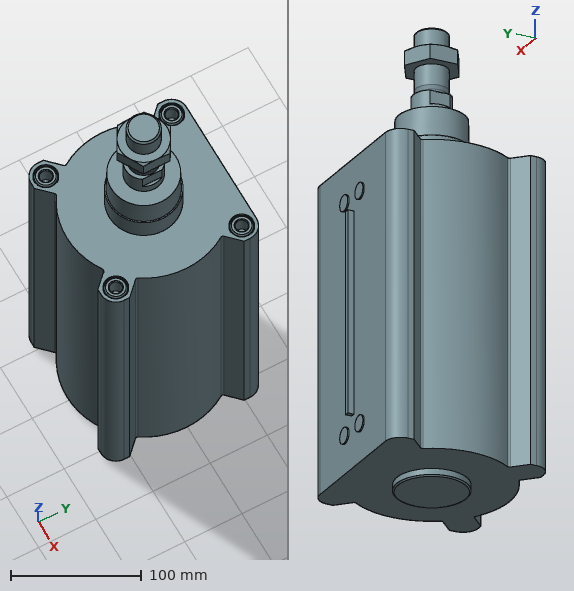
import cadquery as cq
import math

total_height = 385.0
total_depth = 141.0
housing_bottom = 6.0
housing_top = 266.0
housing_middle = (housing_bottom + housing_top) / 2

half_width = 67.95
barrel_radius = 67.0
screw_offset = 55.0
lug_radius = half_width - screw_offset
lug_flat_start = 50.0
neck_fillet = 2.0

collar_diameter = 60.0
collar_chamfer = 1.0
boss_shoulder = 287.0
boss_top = 311.5
boss_cone_base_diameter = 57.8
boss_top_diameter = 56.5

recess_diameter = 19.5
recess_depth = 2.0
head_diameter = 18.0
head_chamfer = 1.0
screw_hole_diameter = 10.0
screw_hole_depth = 15.5
screw_hole_chamfer = 0.8

rail_width = 4.0
rail_length = 171.0
rail_outer_face = total_depth - half_width
pad_diameter = 13.5
pad_height = 1.0
pad_offset_x = 12.7
pad_offset_z = 97.8

rod_diameter = 32.0
rod_bottom = housing_top
rod_shoulder = 331.0
wrench_flat_width = 27.0
wrench_flat_bottom = 319.5
thread_diameter = 27.0
thread_bottom = 337.0
undercut_diameter = 25.0
undercut_top = 333.5
rod_tip_chamfer = 1.5

nut_width = 41.0
nut_bottom = 354.2
nut_height = 13.0
nut_chamfer_angle = 20.0


def cylinder(diameter, bottom, top):
    return cq.Workplane("XY").workplane(offset=bottom).circle(diameter / 2).extrude(top - bottom)


def turned(profile):
    """Solid of revolution about Z from (radius, height) points."""
    return cq.Workplane("XZ").polyline(profile).close().revolve(360, (0, 0, 0), (0, 1, 0))


def at_corners(shape):
    """The shape, placed with its axis on each of the four screw axes."""
    copies = cq.Workplane("XY")
    for side_x in (-1, 1):
        for side_y in (-1, 1):
            copies = copies.add(shape.translate((side_x * screw_offset, side_y * screw_offset, 0)))
    return copies.combine()


def make_lug():
    """One corner lug: rounded outer corner, flanks running inwards at 45 degrees."""
    flank_offset = half_width - lug_flat_start
    outline = [
        (flank_offset, 0),
        (half_width, lug_flat_start),
        (half_width, half_width),
        (lug_flat_start, half_width),
        (0, flank_offset),
    ]
    lug = cq.Workplane("XY").workplane(offset=housing_bottom)
    lug = lug.polyline(outline).close().extrude(housing_top - housing_bottom)
    outer_corner = cq.selectors.NearestToPointSelector((half_width, half_width, housing_middle))
    return lug.edges(outer_corner).fillet(lug_radius)


def is_neck(edge):
    """True for the upright inner corners where lug flanks meet the barrel."""
    place = edge.Center()
    on_barrel = abs(math.hypot(place.x, place.y) - barrel_radius) < 0.05
    return on_barrel and min(abs(place.x), abs(place.y)) > lug_radius


def make_barrel():
    """Round barrel with four corner lugs and a flat +Y side."""
    barrel = cylinder(2 * barrel_radius, housing_bottom, housing_top)
    lug = make_lug()
    for corner in range(4):
        barrel = barrel.union(lug.rotate((0, 0, 0), (0, 0, 1), 90 * corner))
    flat_side = cq.Workplane("XY").box(
        2 * screw_offset, half_width, housing_top - housing_bottom, centered=(True, False, False)
    )
    barrel = barrel.union(flat_side.translate((0, 0, housing_bottom)))
    return barrel.edges("|Z").filter(is_neck).fillet(neck_fillet)


def make_boss():
    """Front boss: a cylinder, a small step, then a slightly tapered upper part."""
    profile = [
        (0, housing_top),
        (collar_diameter / 2, housing_top),
        (collar_diameter / 2, boss_shoulder),
        (boss_cone_base_diameter / 2, boss_shoulder),
        (boss_top_diameter / 2, boss_top),
        (0, boss_top),
    ]
    return turned(profile)


def make_screw_recess():
    """Space to cut for one screw: the ring around its bevelled head, and the hole in the head."""
    groove_bottom = housing_top - recess_depth
    head = cylinder(head_diameter, groove_bottom, housing_top).faces(">Z").chamfer(head_chamfer)
    groove = cylinder(recess_diameter, groove_bottom, housing_top).cut(head)
    hole_radius = screw_hole_diameter / 2
    hole_profile = [
        (0, housing_top - screw_hole_depth),
        (hole_radius, housing_top - screw_hole_depth),
        (hole_radius, housing_top - screw_hole_chamfer),
        (hole_radius + screw_hole_chamfer, housing_top),
        (0, housing_top),
    ]
    return groove.add(turned(hole_profile)).combine()


def make_side_features():
    """Long rail and four round pads on the flat +Y side, rooted inside the housing."""
    rail = cq.Workplane("XY").box(
        rail_width, rail_outer_face - screw_offset, rail_length, centered=(True, False, True)
    )
    features = rail.translate((0, screw_offset, housing_middle))
    pad_length = half_width + pad_height - screw_offset
    pad = cq.Workplane("XZ").circle(pad_diameter / 2).extrude(-pad_length)
    for side_x in (-1, 1):
        for side_z in (-1, 1):
            place = (side_x * pad_offset_x, screw_offset, housing_middle + side_z * pad_offset_z)
            features = features.add(pad.translate(place))
    return features.combine()


def make_housing():
    collar = cylinder(collar_diameter, 0, housing_bottom).faces("<Z").chamfer(collar_chamfer)
    housing = make_barrel().union(collar).union(make_boss()).union(make_side_features())
    housing = housing.cut(at_corners(make_screw_recess()))
    return housing.cut(cylinder(rod_diameter, rod_bottom, boss_top))


def make_rod():
    """Piston rod: round shank with two wrench flats, undercut and threaded end."""
    rod_radius = rod_diameter / 2
    thread_radius = thread_diameter / 2
    undercut_radius = undercut_diameter / 2
    profile = [
        (0, rod_bottom),
        (rod_radius, rod_bottom),
        (rod_radius, rod_shoulder),
        (undercut_radius, rod_shoulder),
        (undercut_radius, undercut_top),
        (thread_radius, thread_bottom),
        (thread_radius, total_height - rod_tip_chamfer),
        (thread_radius - rod_tip_chamfer, total_height),
        (0, total_height),
    ]
    rod = turned(profile)
    flats_height = rod_shoulder - wrench_flat_bottom
    outside_flats = (
        cq.Workplane("XY")
        .workplane(offset=wrench_flat_bottom)
        .rect(2 * rod_diameter, 2 * rod_diameter)
        .rect(wrench_flat_width, 2 * rod_diameter)
        .extrude(flats_height)
    )
    return rod.cut(outside_flats)


def make_nut():
    """Hexagonal lock nut with flats facing +X and -X and bevelled top corners."""
    corner_diameter = nut_width / math.cos(math.radians(30))
    nut = cq.Workplane("XY").polygon(6, corner_diameter).extrude(nut_height)
    nut = nut.rotate((0, 0, 0), (0, 0, 1), 30).translate((0, 0, nut_bottom))
    slope = math.tan(math.radians(nut_chamfer_angle))
    nut_top = nut_bottom + nut_height
    flat_distance = nut_width / 2
    cone_profile = [
        (0, nut_bottom),
        (flat_distance + nut_height / slope, nut_bottom),
        (flat_distance, nut_top),
        (0, nut_top),
    ]
    nut = nut.intersect(turned(cone_profile))
    return nut.cut(cylinder(thread_diameter, nut_bottom, nut_top))


housing = make_housing()
rod = make_rod()
nut = make_nut()

result = cq.Compound.makeCompound([housing.val(), rod.val(), nut.val()])